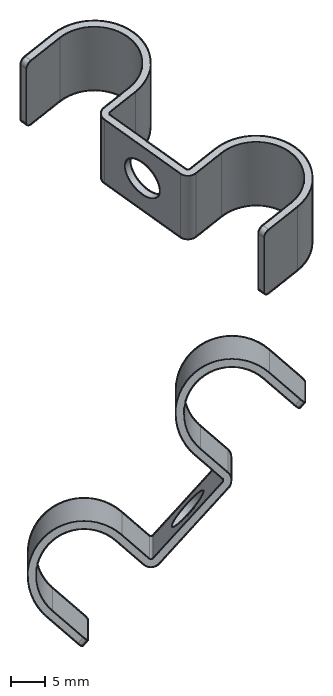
import cadquery as cq

length = 48.8
width = 14.0
thickness = 1.2
loop_radius = 8.2
leg_length = 7.0
bend_inner_radius = 0.4
hole_diameter = 7.0
tip_corner_radius = 1.0

loop_centre_x = length / 2 - loop_radius
inner_radius = loop_radius - thickness
inner_leg_x = loop_centre_x - loop_radius
bend_outer_radius = bend_inner_radius + thickness


def half_ring(centre_x):
    """Half-round saddle bulging toward +Y."""
    return (
        cq.Workplane("XY")
        .moveTo(centre_x - loop_radius, 0)
        .threePointArc((centre_x, loop_radius), (centre_x + loop_radius, 0))
        .lineTo(centre_x + inner_radius, 0)
        .threePointArc((centre_x, inner_radius), (centre_x - inner_radius, 0))
        .close()
        .extrude(width)
    )


def outer_leg(side):
    """Free leg, with its two tip corners rounded."""
    return (
        cq.Workplane("XY")
        .center(side * (length - thickness) / 2, -leg_length / 2)
        .rect(thickness, leg_length)
        .extrude(width)
        .faces("<Y")
        .edges("|X")
        .fillet(tip_corner_radius)
    )


def centre_channel():
    """Mounting web and the two inner legs, joined by rounded bends."""
    half_outer = inner_leg_x + thickness
    channel = (
        cq.Workplane("XY")
        .moveTo(-half_outer, 0)
        .lineTo(-half_outer, -leg_length)
        .lineTo(half_outer, -leg_length)
        .lineTo(half_outer, 0)
        .lineTo(inner_leg_x, 0)
        .lineTo(inner_leg_x, thickness - leg_length)
        .lineTo(-inner_leg_x, thickness - leg_length)
        .lineTo(-inner_leg_x, 0)
        .close()
        .extrude(width)
    )
    channel = channel.faces("<Y").edges("|Z").fillet(bend_outer_radius)
    for side in (-1, 1):
        corner = (side * inner_leg_x, thickness - leg_length, width / 2)
        channel = channel.edges(cq.selectors.NearestToPointSelector(corner)).fillet(bend_inner_radius)
    return channel


result = centre_channel()
for side in (-1, 1):
    result = result.union(half_ring(side * loop_centre_x)).union(outer_leg(side))

hole = (
    cq.Workplane("XZ", origin=(0, 0, width / 2))
    .circle(hole_diameter / 2)
    .extrude(leg_length)
    .translate((0, -leg_length / 2, 0))
)
result = result.cut(hole)